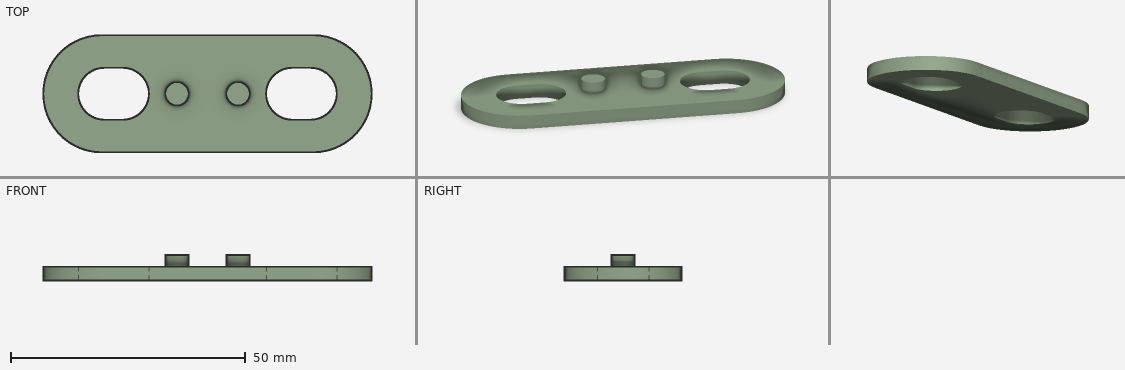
import cadquery as cq

plate_length = 70.0
plate_width = 25.0
plate_thickness = 3.0

slot_length = 15.0
slot_width = 11.0
slot_spacing = 40.0

total_height = 5.5
peg_diameter = 5.0
peg_spacing = 13.0
peg_height = total_height - plate_thickness


def mirrored_pair(spacing):
    """Two points on the X axis, symmetric about the origin."""
    return [(-spacing / 2, 0), (spacing / 2, 0)]


def make_plate():
    """Round-ended plate with its underside on Z = 0."""
    return cq.Workplane("XY").slot2D(plate_length, plate_width).extrude(plate_thickness)


def make_slots():
    """Cutters for the two round-ended slots."""
    return (
        cq.Workplane("XY")
        .pushPoints(mirrored_pair(slot_spacing))
        .slot2D(slot_length, slot_width)
        .extrude(plate_thickness)
    )


def make_pegs():
    """Two round pegs rising from the top face."""
    return (
        cq.Workplane("XY", origin=(0, 0, plate_thickness))
        .pushPoints(mirrored_pair(peg_spacing))
        .circle(peg_diameter / 2)
        .extrude(peg_height)
    )


result = make_plate().cut(make_slots()).union(make_pegs())